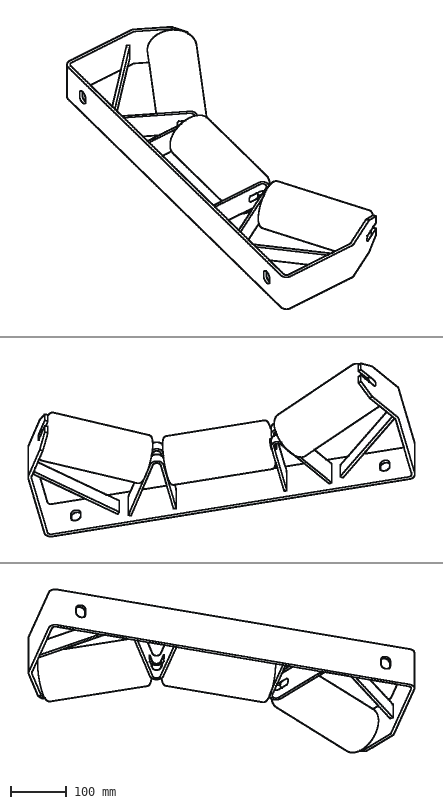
import cadquery as cq
import math


frame_length = 680.0
frame_width = 80.0
frame_thickness = 6.0
frame_bend_radius = 12.0
arm_corner_height = 150.0
arm_length = 100.0
arm_chamfer_length = 30.0
arm_chamfer_width = 16.0
trough_angle = 30.0

mounting_slot_spacing = 567.0
mounting_slot_width = 18.0
mounting_slot_length = 27.0

roller_length = 190.5
roller_diameter = 89.0
roller_edge_radius = 5.5
roller_gap = 3.75
shaft_diameter = 20.0
shaft_flat_width = 14.0
shaft_shoulder_length = 2.0
centre_axis_height = 100.0
arm_axis_distance = 70.0

bracket_thickness = 5.0
bracket_width = 50.0
bracket_bend_radius = 12.0
brace_thickness = 6.0
brace_width = 30.0
brace_length = 180.0
brace_angle = 45.0

tilt_cos = math.cos(math.radians(trough_angle))
tilt_sin = math.sin(math.radians(trough_angle))
support_distance = roller_length / 2 + roller_gap
half_length = frame_length / 2
arm_corner = (-half_length, arm_corner_height)
arm_tip = (arm_corner[0] + arm_length * tilt_sin, arm_corner[1] + arm_length * tilt_cos)
arm_outer_distance = support_distance + frame_thickness
side_centre = (
    arm_corner[0] + arm_axis_distance * tilt_sin + arm_outer_distance * tilt_cos,
    arm_corner[1] + arm_axis_distance * tilt_cos - arm_outer_distance * tilt_sin,
)


def tilted(shape):
    """Carry a shape from the side roller's own axes (axis on X) to its place on the left."""
    turned = shape.rotate((0, 0, 0), (0, 0, 1), -trough_angle)
    return turned.translate((side_centre[0], side_centre[1], 0))


def mirrored(shape):
    return shape.mirror("YZ")


def bent_plate(path, thickness, width, bend_radius):
    """Bent strip: `path` is its outer face, bending left, with the thickness on its left."""
    normals = []
    for (x0, y0), (x1, y1) in zip(path, path[1:]):
        length = math.hypot(x1 - x0, y1 - y0)
        normals.append(((y0 - y1) / length, (x1 - x0) / length))
    inner_path = []
    for (x, y), before, after in zip(path, normals[:1] + normals, normals + normals[-1:]):
        mitre = thickness / (1 + before[0] * after[0] + before[1] * after[1])
        inner_path.append((x + mitre * (before[0] + after[0]), y + mitre * (before[1] + after[1])))
    outline = cq.Workplane("XY").workplane(offset=-width / 2).polyline(path + inner_path[::-1])
    plate = outline.close().extrude(width)
    for corners, radius in ((path, bend_radius), (inner_path, bend_radius - thickness)):
        for x, y in corners[1:-1]:
            plate = plate.edges(cq.selectors.NearestToPointSelector((x, y, 0))).fillet(radius)
    return plate


def shaft_slot(start, depth, length):
    """Cutter along +X from `start`, open towards +Y, with a floor that fits the flatted shaft."""
    round_floor = cq.Workplane("YZ").circle(shaft_diameter / 2).extrude(depth)
    flats = cq.Workplane("XY").box(depth, shaft_diameter, shaft_flat_width, centered=(False, True, True))
    open_part = cq.Workplane("XY").box(depth, length, shaft_flat_width, centered=False)
    open_part = open_part.translate((0, 0, -shaft_flat_width / 2))
    return round_floor.intersect(flats).union(open_part).translate((start, 0, 0))


def make_roller(left_end, right_end):
    """Roller on the X axis, its shaft running from x = -left_end to x = right_end."""
    drum = cq.Workplane("YZ").workplane(offset=-roller_length / 2).circle(roller_diameter / 2)
    drum = drum.extrude(roller_length).edges("%CIRCLE").fillet(roller_edge_radius)

    shaft = cq.Workplane("YZ").circle(shaft_diameter / 2).extrude(left_end + right_end)
    shaft = shaft.translate((-left_end, 0, 0))
    round_length = roller_length + 2 * shaft_shoulder_length
    middle = cq.Workplane("XY").box(round_length, shaft_diameter, shaft_diameter)
    flats = cq.Workplane("XY").box(2 * (left_end + right_end), shaft_diameter, shaft_flat_width)
    return drum.union(shaft.intersect(middle.union(flats)))


def make_frame():
    left_path = [arm_tip, arm_corner, (-half_length, 0)]
    right_path = [(-x, y) for x, y in reversed(left_path)]
    frame = bent_plate(left_path + right_path, frame_thickness, frame_width, frame_bend_radius)

    tip = arm_length - arm_axis_distance
    corner = [
        (tip, frame_width / 2),
        (tip - arm_chamfer_length, frame_width / 2),
        (tip, frame_width / 2 - arm_chamfer_width),
    ]
    chamfer = cq.Workplane("YZ").polyline(corner).close().extrude(frame_thickness)
    chamfer = chamfer.translate((-arm_outer_distance, 0, 0))
    slot = shaft_slot(-arm_outer_distance, frame_thickness, arm_length)
    arm_cut = tilted(slot.union(chamfer).union(chamfer.mirror("XY")))
    frame = frame.cut(arm_cut).cut(mirrored(arm_cut))

    mounting_slots = (
        cq.Workplane("XZ")
        .pushPoints([(-mounting_slot_spacing / 2, 0), (mounting_slot_spacing / 2, 0)])
        .slot2D(mounting_slot_length, mounting_slot_width, 90)
        .extrude(-frame_thickness)
    )
    return frame.cut(mounting_slots)


def make_bracket():
    """Left bracket: an upright leg for the centre roller folded into a leg for the side roller."""
    leg_x = -support_distance
    face_x = side_centre[0] + support_distance * tilt_cos
    face_y = side_centre[1] - support_distance * tilt_sin
    slope = tilt_cos / tilt_sin
    apex = (leg_x, face_y + (leg_x - face_x) * slope)
    foot_y = frame_thickness + bracket_thickness * tilt_sin
    sloping_foot = (face_x + (foot_y - face_y) / slope, foot_y)
    path = [(leg_x, frame_thickness), apex, sloping_foot]
    bracket = bent_plate(path, bracket_thickness, bracket_width, bracket_bend_radius)

    slot_length = apex[1] - centre_axis_height
    upright_slot = shaft_slot(leg_x - bracket_bend_radius, bracket_bend_radius, slot_length)
    upright_slot = upright_slot.translate((0, centre_axis_height, 0))
    sloping_slot = tilted(shaft_slot(support_distance, bracket_bend_radius, slot_length))
    return bracket.cut(upright_slot).cut(sloping_slot)


def make_brace():
    """Left brace: a square-ended strip between the upright and the base, resting on its corners."""
    foot_x = -half_length + frame_thickness + brace_length * math.cos(math.radians(brace_angle))
    brace = cq.Workplane("XY").box(
        brace_length, brace_thickness, brace_width, centered=(False, False, True)
    )
    brace = brace.translate((0, -brace_thickness, 0))
    brace = brace.rotate((0, 0, 0), (0, 0, 1), 180 - brace_angle)
    return brace.translate((foot_x, frame_thickness, 0))


frame = make_frame()
left_bracket = make_bracket()
left_brace = make_brace()
bracket_outer_distance = support_distance + bracket_thickness
centre_roller = make_roller(bracket_outer_distance, bracket_outer_distance)
centre_roller = centre_roller.translate((0, centre_axis_height, 0))
left_roller = tilted(make_roller(arm_outer_distance, bracket_outer_distance))

bodies = [frame.val(), centre_roller.val()]
for left_body in (left_bracket, left_brace, left_roller):
    bodies.append(left_body.val())
    bodies.append(mirrored(left_body).val())

result = cq.Compound.makeCompound(bodies)